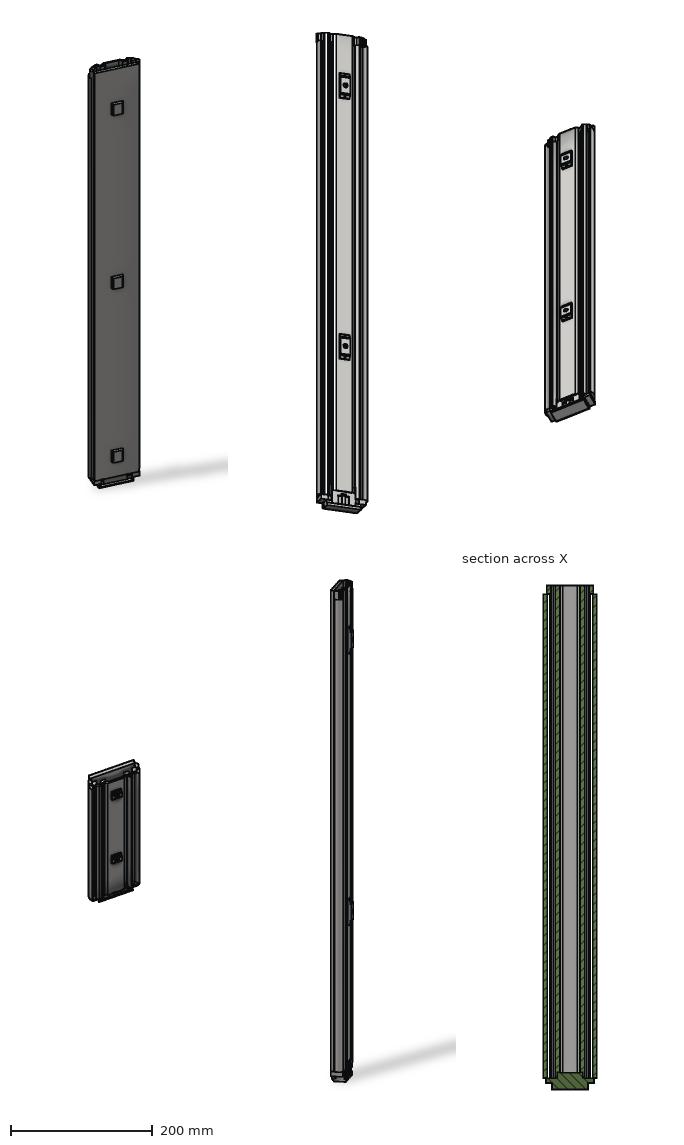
import cadquery as cq

length = 711.0
half_width = 38.05
half_depth = 15.0

top_z = length / 2
rim_z = 343.5
profile_bottom_z = -339.0
front_x = -10.0
back_x = 10.0
back_inner_x = 5.0
corner_y = 33.5

groove_start_y = 12.0
groove_pitch = 13.0
inner_flank_width = 3.9
inner_flank_drop = 2.0
slot_width = 2.2
outer_flank_width = 4.0
outer_flank_drops = (4.0, 6.0)
slot_step = 1.0
flange_x = -8.5
second_groove_y = groove_start_y + groove_pitch
slot_start_y = groove_start_y + inner_flank_width
slot_end_y = slot_start_y + slot_width
ridge_y = slot_end_y + outer_flank_width
second_slot_y = slot_start_y + groove_pitch

shallow_step = 1.5
shallow_rise = 1.0
bevel_end_x = -5.0
bevel_end_y = 33.1
lip_start_x = -3.2
lip_end_x = -2.0
lip_peak_x = 1.0
lip_peak_y = 38.0

rim_start_x = -7.0
rim_peak_x = -1.0
rim_end_x = 3.5
rim_shoulder_y = 36.0
rim_step_x = 5.0
rim_step_y = 34.0

wall = 2.0
side_cavity_x = -1.0
side_cavity_y = 33.0

clip_width = 15.0
clip_length = 37.0
clip_ramp = 4.0
clip_step = 2.0
clip_edge_x = -12.0
clip_ledge_x = -13.5
clip_hole_diameter = 6.5
clip_slit = 2.0
clip_top_z = 296.5
clip_spacing = 392.5
clip_count = 2

hook_half_width = 8.5
hook_height = 18.5
hook_chamfer = 2.0
hook_top_z = 299.0
hook_spacing = 296.0
hook_count = 3

foot_block_x = -8.5
foot_block_half_width = 18.0
foot_block_top_z = -331.5
ear_top_z = -322.0
ear_outer_y = 18.5
ear_inner_y = 16.5
ear_front_x = -7.0
ear_back_x = -4.0
tab_inner_y = 23.5
tab_outer_y = 34.0
tab_front_x = -8.0
tab_bottom_z = -346.0
tab_leg_x = 6.5
crossbar_front_x = -5.0
crossbar_back_x = 2.0
foot_half_width = 25.5
foot_plate_top_z = -351.0
foot_plate_bottom_x = 6.5
neck_back_x = 4.0
recess_depth = 3.0
recess_top_z = -335.0
recess_step_z = -338.0
recess_bottom_z = -350.5
recess_top_half_width = 3.5
recess_half_width = 8.5
recess_rib_half_width = 2.0


def box(x_range, y_range, z_range):
    """Box between two limits along each axis."""
    sizes = [high - low for low, high in (x_range, y_range, z_range)]
    low_corner = (x_range[0], y_range[0], z_range[0])
    return cq.Workplane("XY").box(*sizes, centered=False).translate(low_corner)


def mirrored(body):
    """Body together with its mirror image across the XZ plane."""
    return body.union(body.mirror("XZ"))


def groove_points(start_y, outer_x, outer_drop):
    """Groove with a gentle inner flank, a narrow slot and a steep outer flank up to outer_x."""
    start = start_y + inner_flank_width
    end = start + slot_width
    outer_foot_x = outer_x + outer_drop
    slot_x = outer_foot_x + slot_step
    return [
        (front_x, start_y),
        (front_x + inner_flank_drop, start),
        (slot_x, start),
        (slot_x, end),
        (outer_foot_x, end),
        (outer_x, end + outer_flank_width),
    ]


def main_half():
    """Half of the grooved length below the top end, y >= 0."""
    points = groove_points(groove_start_y, front_x, outer_flank_drops[0])
    points += groove_points(second_groove_y, flange_x, outer_flank_drops[1])
    return (
        cq.Workplane("XY", origin=(0, 0, profile_bottom_z))
        .moveTo(front_x, 0)
        .polyline(points, includeCurrent=True)
        .lineTo(rim_start_x, rim_shoulder_y)
        .threePointArc((rim_peak_x, half_width), (rim_end_x, rim_shoulder_y))
        .lineTo(rim_step_x, rim_step_y)
        .lineTo(back_x, corner_y)
        .lineTo(back_x, 0)
        .close()
        .extrude(rim_z - profile_bottom_z)
    )


def top_half():
    """Half of the top end, y >= 0, with shallow grooves and bevelled rims."""
    step_x = front_x + inner_flank_drop + shallow_step
    rise_x = step_x - shallow_rise
    points = [
        (front_x, groove_start_y),
        (front_x + inner_flank_drop, slot_start_y),
        (step_x, slot_start_y),
        (rise_x, slot_end_y + slot_width),
        (front_x, ridge_y),
        (front_x, second_groove_y),
        (front_x + inner_flank_drop, second_slot_y),
        (step_x, second_slot_y),
        (rise_x, second_slot_y + slot_width),
        (bevel_end_x, bevel_end_y),
        (lip_start_x, bevel_end_y),
        (lip_end_x, rim_shoulder_y),
    ]
    return (
        cq.Workplane("XY", origin=(0, 0, rim_z))
        .moveTo(front_x, 0)
        .polyline(points, includeCurrent=True)
        .threePointArc((lip_peak_x, lip_peak_y), (rim_end_x, rim_shoulder_y))
        .lineTo(rim_step_x, rim_step_y)
        .lineTo(back_x, corner_y)
        .lineTo(back_x, 0)
        .close()
        .extrude(top_z - rim_z)
    )


def cavity_half():
    """Half of the hollow that runs the full length behind the front wall."""
    inner_front_x = front_x + wall
    shoulder_x = inner_front_x + inner_flank_drop
    deep_x = front_x + outer_flank_drops[0] + slot_step + wall
    points = [
        (inner_front_x, 0),
        (inner_front_x, groove_start_y - wall),
        (shoulder_x, slot_start_y - wall),
        (deep_x, slot_start_y - wall),
        (deep_x, slot_end_y + wall),
        (inner_front_x, ridge_y + wall / 2),
        (inner_front_x, second_groove_y - wall / 2),
        (shoulder_x, second_slot_y - wall),
        (side_cavity_x, second_slot_y - wall),
        (side_cavity_x, side_cavity_y),
        (back_inner_x, side_cavity_y),
        (back_inner_x, 0),
    ]
    return (
        cq.Workplane("XY", origin=(0, 0, profile_bottom_z))
        .polyline(points)
        .close()
        .extrude(top_z - profile_bottom_z)
    )


def make_hook(hook_z):
    """Block on the back plate, its upper end at hook_z, with chamfered outer side edges."""
    hook = box(
        (back_x, half_depth),
        (-hook_half_width, hook_half_width),
        (hook_z - hook_height, hook_z),
    )
    return hook.edges(">X and |Z").chamfer(hook_chamfer)


def foot_seat():
    """Space that the foot's block and ears take up inside the profile."""
    block = box(
        (front_x, back_inner_x),
        (-foot_block_half_width, foot_block_half_width),
        (profile_bottom_z, foot_block_top_z),
    )
    return block.union(foot_ears())


def foot_ears():
    """Two ears that reach up into the inner grooves."""
    ear = box(
        (ear_front_x, ear_back_x),
        (ear_inner_y, ear_outer_y),
        (profile_bottom_z, ear_top_z),
    )
    return mirrored(ear)


def make_profile():
    """Hollow grooved profile with its back hooks."""
    body = mirrored(main_half().union(top_half()).cut(cavity_half()))
    body = body.cut(foot_seat())
    for index in range(hook_count):
        body = body.union(make_hook(hook_top_z - index * hook_spacing))
    return body


def foot_recess():
    """Stepped recess in the front of the foot block, with a rib left standing in its middle."""
    x_range = (foot_block_x, foot_block_x + recess_depth)
    upper = box(
        x_range,
        (-recess_top_half_width, recess_top_half_width),
        (recess_step_z, recess_top_z),
    )
    lower = box(
        x_range,
        (-recess_half_width, recess_half_width),
        (recess_bottom_z, recess_step_z),
    )
    rib = box(
        x_range,
        (-recess_rib_half_width, recess_rib_half_width),
        (recess_bottom_z, recess_step_z),
    )
    return upper.union(lower.cut(rib))


def make_foot():
    """Foot with a block inside the profile, side tabs below it and a wide bottom plate."""
    block = box(
        (foot_block_x, back_inner_x),
        (-foot_block_half_width, foot_block_half_width),
        (foot_plate_top_z, foot_block_top_z),
    )
    crossbar = box(
        (crossbar_front_x, crossbar_back_x),
        (-tab_outer_y, tab_outer_y),
        (tab_bottom_z, profile_bottom_z),
    )
    tab = box(
        (tab_front_x, back_x),
        (tab_inner_y, tab_outer_y),
        (tab_bottom_z, profile_bottom_z),
    )
    leg = box(
        (tab_leg_x, back_x),
        (tab_inner_y, foot_half_width),
        (foot_plate_top_z, tab_bottom_z),
    )
    neck = box(
        (tab_front_x, neck_back_x),
        (-foot_half_width, foot_half_width),
        (foot_plate_top_z, tab_bottom_z),
    )
    plate = (
        cq.Workplane("XZ", origin=(0, foot_half_width, 0))
        .moveTo(front_x, foot_plate_top_z)
        .lineTo(back_x, foot_plate_top_z)
        .lineTo(foot_plate_bottom_x, -top_z)
        .lineTo(front_x, -top_z)
        .close()
        .extrude(2 * foot_half_width)
    )
    body = block.union(crossbar).union(neck).union(plate)
    return body.union(foot_ears()).union(mirrored(tab.union(leg))).cut(foot_recess())


def make_clip(clip_z):
    """Clip on the front panel, its upper end at clip_z, with ramped and slit ends and a centre hole."""
    bottom_z = clip_z - clip_length
    end_length = clip_ramp + clip_step
    body = (
        cq.Workplane("XZ", origin=(0, clip_width / 2, 0))
        .moveTo(front_x, clip_z)
        .lineTo(clip_edge_x, clip_z)
        .lineTo(clip_ledge_x, clip_z - clip_ramp)
        .lineTo(clip_ledge_x, clip_z - end_length)
        .lineTo(-half_depth, clip_z - end_length)
        .lineTo(-half_depth, bottom_z + end_length)
        .lineTo(clip_ledge_x, bottom_z + end_length)
        .lineTo(clip_ledge_x, bottom_z + clip_ramp)
        .lineTo(clip_edge_x, bottom_z)
        .lineTo(front_x, bottom_z)
        .close()
        .extrude(clip_width)
    )
    hole = (
        cq.Workplane("YZ", origin=(-half_depth, 0, clip_z - clip_length / 2))
        .circle(clip_hole_diameter / 2)
        .extrude(front_x + half_depth)
    )
    slit_x = (-half_depth, clip_edge_x)
    slit_y = (-clip_slit / 2, clip_slit / 2)
    upper_slit = box(slit_x, slit_y, (clip_z - end_length, clip_z))
    lower_slit = box(slit_x, slit_y, (bottom_z, bottom_z + end_length))
    return body.cut(hole).cut(upper_slit).cut(lower_slit)


profile = make_profile()
foot = make_foot()
clips = [make_clip(clip_top_z - index * clip_spacing) for index in range(clip_count)]

result = cq.Compound.makeCompound(
    [profile.val(), foot.val(), *[clip.val() for clip in clips]]
)